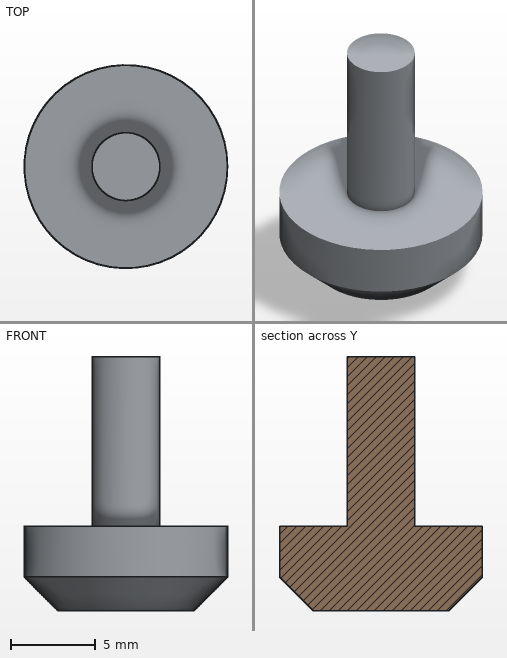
import cadquery as cq

total_height = 15.0
head_diameter = 12.0
pin_diameter = 4.0
chamfer_size = 2.0
rim_height = 3.0

head_height = chamfer_size + rim_height
pin_length = total_height - head_height


def make_head():
    """Round head resting on Z = 0, bevelled around its lower edge."""
    head = cq.Workplane("XY").circle(head_diameter / 2).extrude(head_height)
    return head.faces("<Z").edges().chamfer(chamfer_size)


def add_pin(head):
    """Plain pin standing on the centre of the head."""
    return head.faces(">Z").workplane().circle(pin_diameter / 2).extrude(pin_length)


result = add_pin(make_head())